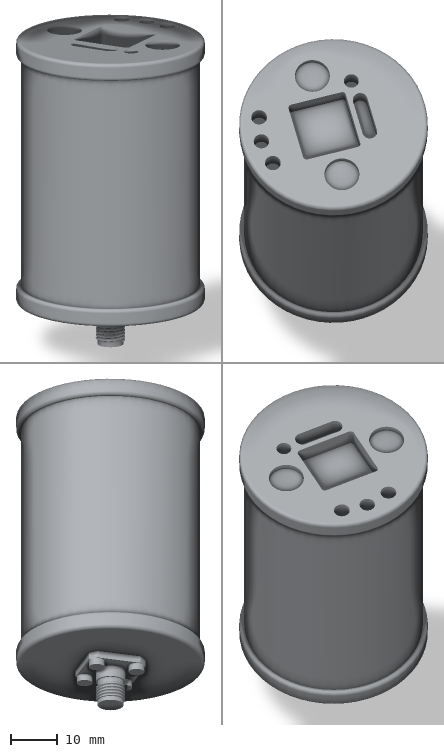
import cadquery as cq
import math

housing_height = 58.42
drum_diameter = 38.354
cap_diameter = 40.44
cap_thickness = 3.81
cap_edge_radius = 0.762

upper_hole_circle_radius = 16.0
upper_hole_angle = 20.5
outer_hole_diameter = 3.37
middle_hole_diameter = 3.3
lower_hole_diameter = 3.17
lower_hole_center = (8.7, -6.35)
window_width = 13.4
window_height = 12.7
window_center_y = 2.0
window_corner_radius = 0.762
slot_length = 11.0
slot_width = 3.17
slot_center_y = -7.0
round_recess_diameter = 7.49
round_recess_depth = 1.27
round_recess_spacing = 24.1
round_recess_y = 1.4

connector_x = -0.03
flange_size = 12.7
flange_thickness = 1.52
flange_corner_circle_diameter = 15.88
screw_head_diameter = 3.37
screw_head_height = 1.4
screw_spacing = 8.89
collar_diameter = 6.35
collar_end = 3.95
connector_length = 9.35
barrel_diameter = 5.59
thread_core_diameter = 5.49
thread_diameter = 6.26
thread_pitch = 25.4 / 36
thread_start = 4.95
thread_end = 8.45
thread_length = thread_end - thread_start
thread_root_width = 0.5
thread_crest_width = 0.1
thread_embedding = 0.1


def end_cap(bottom_z):
    """Disc with both rims rounded."""
    disc = cq.Workplane("XY", origin=(0, 0, bottom_z)).circle(cap_diameter / 2).extrude(cap_thickness)
    return disc.edges().fillet(cap_edge_radius)


def pocket_floor(depth):
    """Workplane at the pocket floor, at the given depth below the top face."""
    return cq.Workplane("XY", origin=(0, 0, housing_height - depth))


def round_pockets(places, diameter, depth):
    """Cutters for round openings in the top face."""
    return pocket_floor(depth).pushPoints(places).circle(diameter / 2).extrude(depth)


def make_housing():
    """Drum and caps in one piece, with the openings sunk into the top."""
    drum = cq.Workplane("XY", origin=(0, 0, cap_thickness)).circle(drum_diameter / 2)
    body = drum.extrude(housing_height - 2 * cap_thickness)
    body = body.union(end_cap(0)).union(end_cap(housing_height - cap_thickness))

    angle = math.radians(upper_hole_angle)
    outer_x = upper_hole_circle_radius * math.sin(angle)
    outer_y = upper_hole_circle_radius * math.cos(angle)
    outer_holes = [(-outer_x, outer_y), (outer_x, outer_y)]
    body = body.cut(round_pockets(outer_holes, outer_hole_diameter, cap_thickness))
    body = body.cut(round_pockets([(0, upper_hole_circle_radius)], middle_hole_diameter, cap_thickness))
    body = body.cut(round_pockets([lower_hole_center], lower_hole_diameter, cap_thickness))

    recess_x = round_recess_spacing / 2
    recess_places = [(-recess_x, round_recess_y), (recess_x, round_recess_y)]
    body = body.cut(round_pockets(recess_places, round_recess_diameter, round_recess_depth))

    window = pocket_floor(cap_thickness).center(0, window_center_y).rect(window_width, window_height)
    body = body.cut(window.extrude(cap_thickness).edges("|Z").fillet(window_corner_radius))

    slot = pocket_floor(cap_thickness).center(0, slot_center_y).slot2D(slot_length, slot_width)
    return body.cut(slot.extrude(cap_thickness))


def make_thread():
    """Right-hand helical ridge of trapezoidal section, trimmed flat at both ends of the thread."""
    root_radius = thread_core_diameter / 2 - thread_embedding
    crest_radius = thread_diameter / 2
    bottom_z = -thread_end
    path = cq.Wire.makeHelix(thread_pitch, thread_length, root_radius, center=cq.Vector(0, 0, bottom_z))
    section = cq.Workplane("XZ").polyline(
        [
            (root_radius, bottom_z - thread_root_width / 2),
            (crest_radius, bottom_z - thread_crest_width / 2),
            (crest_radius, bottom_z + thread_crest_width / 2),
            (root_radius, bottom_z + thread_root_width / 2),
        ]
    ).close()
    ridge = section.sweep(cq.Workplane(path), isFrenet=True)
    thread_zone = cq.Workplane("XY", origin=(0, 0, bottom_z)).circle(collar_diameter / 2).extrude(thread_length)
    return ridge.intersect(thread_zone)


def make_barrel():
    """Barrel relieved to the core diameter along the thread, with the ridge wound on it."""
    barrel = cq.Workplane("XY").circle(barrel_diameter / 2).extrude(-connector_length)
    relief = cq.Workplane("XY", origin=(0, 0, -thread_end))
    relief = relief.circle(collar_diameter / 2).circle(thread_core_diameter / 2).extrude(thread_length)
    return barrel.cut(relief).union(make_thread())


def make_connector():
    """Flange seated on the underside of the housing, with everything below it."""
    flange = cq.Workplane("XY").rect(flange_size, flange_size).extrude(-flange_thickness)
    corner_disc = cq.Workplane("XY").circle(flange_corner_circle_diameter / 2).extrude(-flange_thickness)
    flange = flange.intersect(corner_disc)
    heads = (
        cq.Workplane("XY", origin=(0, 0, -flange_thickness))
        .rect(screw_spacing, screw_spacing, forConstruction=True)
        .vertices()
        .circle(screw_head_diameter / 2)
        .extrude(-screw_head_height)
    )
    collar = cq.Workplane("XY").circle(collar_diameter / 2).extrude(-collar_end)
    return flange.union(heads).union(collar).union(make_barrel()).translate((connector_x, 0, 0))


housing = make_housing()
connector = make_connector()
result = cq.Compound.makeCompound([*housing.solids().vals(), *connector.solids().vals()])